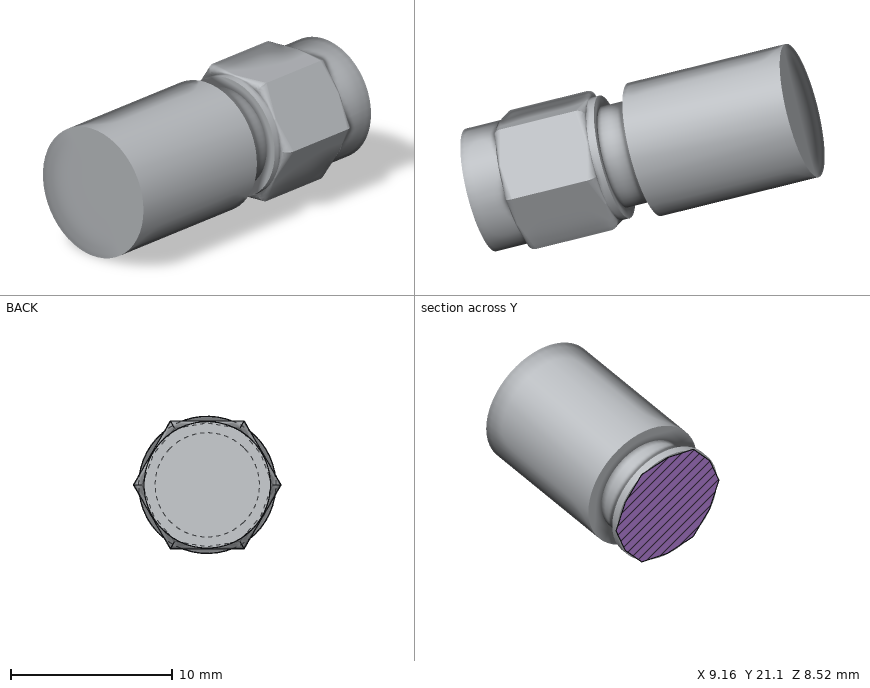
import cadquery as cq
import math

total_length = 21.08
body_diameter = 8.52
body_length = 10.33
neck_diameter = 6.47
neck_length = 1.98
collar_diameter = 7.85
collar_length = 0.5
hex_sides = 6
hex_across_flats = 7.93
hex_length = 5.95
corner_rounding = 0.5
flat_rounding = 0.13
hex_across_corners = hex_across_flats / math.cos(math.pi / hex_sides)
sleeve_diameter = collar_diameter

body_front = -total_length / 2
body_back = body_front + body_length
neck_back = body_back + neck_length
hex_front = neck_back + collar_length
hex_back = hex_front + hex_length
sleeve_length = total_length / 2 - hex_back


def section_plane(y_start):
    """Plane at y_start whose normal points toward +Y."""
    return cq.Workplane("XZ", origin=(0, y_start, 0)).workplane(invert=True)


def cylinder(diameter, y_start, length):
    return section_plane(y_start).circle(diameter / 2).extrude(length)


def rounded_section(x, rounding):
    """Wire across the nut at x, from the axis up to the flat, with both outer corners rounded."""
    diagonal_inset = rounding * (1 - math.sqrt(0.5))
    top = hex_across_flats / 2
    return (
        cq.Workplane("YZ", origin=(x, 0, 0))
        .moveTo(hex_front, 0)
        .lineTo(hex_front, top - rounding)
        .threePointArc((hex_front + diagonal_inset, top - diagonal_inset), (hex_front + rounding, top))
        .lineTo(hex_back - rounding, top)
        .threePointArc((hex_back - diagonal_inset, top - diagonal_inset), (hex_back, top - rounding))
        .lineTo(hex_back, 0)
        .close()
        .val()
    )


def nut_sector():
    """Sixth of the nut under its top flat; the end rounding grows from mid-flat to the corners."""
    half_side = hex_across_corners / 4
    middle = rounded_section(0, flat_rounding)
    block = cq.Workplane()
    for x in (-half_side, half_side):
        corner = rounded_section(x, corner_rounding)
        block = block.add(cq.Solid.makeLoft([middle, corner], True))
    block = block.combine()
    top = hex_across_flats / 2
    sector = (
        cq.Workplane("XZ", origin=(0, hex_front, 0))
        .polyline([(0, 0), (half_side, top), (-half_side, top)])
        .close()
        .extrude(-hex_length)
    )
    return block.intersect(sector)


def coupling_nut():
    """Hexagon with corners on X, made of six equal sectors."""
    sector = nut_sector()
    nut = sector
    for side in range(1, hex_sides):
        nut = nut.union(sector.rotate((0, 0, 0), (0, 1, 0), 360 / hex_sides * side))
    return nut.clean()


body = cylinder(body_diameter, body_front, body_length)
neck = cylinder(neck_diameter, body_back, neck_length)
collar = cylinder(collar_diameter, neck_back, collar_length)
sleeve = cylinder(sleeve_diameter, hex_back, sleeve_length)

result = body.union(neck).union(collar).union(coupling_nut()).union(sleeve)